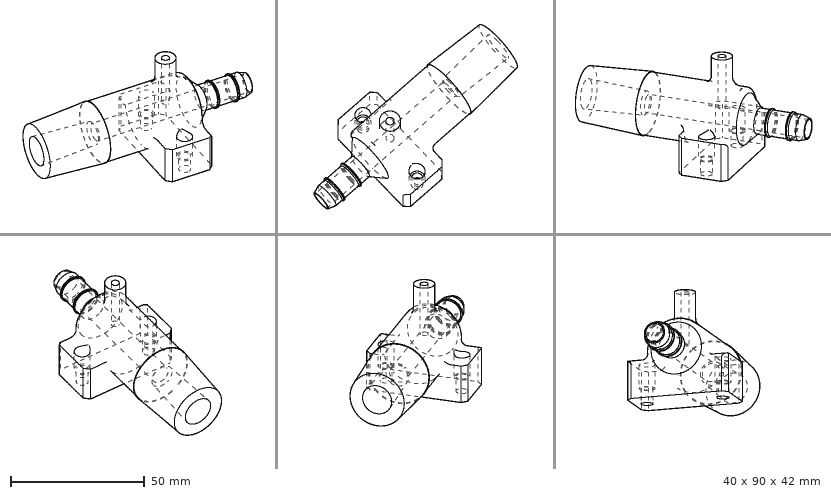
import cadquery as cq
import math

BARREL_RADIUS = 12.0
BARREL_FRONT_Y = -30.0
BODY_ROUND = 2.0
BORE_RADIUS = 3.5

BLOCK_WIDTH = 40.0
BLOCK_LENGTH = 20.0
BLOCK_TOP_Z = -3.0
BLOCK_BOTTOM_Z = -18.0
BLOCK_CHAMFER = 2.0
BLOCK_HEIGHT = BLOCK_TOP_Z - BLOCK_BOTTOM_Z
BLOCK_BACK_Y = BLOCK_LENGTH / 2
BLOCK_FRONT_Y = -BLOCK_LENGTH / 2

SCREW_SPACING = 30.0
SCREW_HOLE_RADIUS = 2.25
SCREW_HEAD_RADIUS = 3.0
SCREW_SEAT_Z = -12.0

PORT_RADIUS = 4.0
PORT_TOP_Z = 24.0
PORT_FILLET = 4.0
PORT_BORE_RADIUS = 1.5

PLUG_LENGTH = 25.0
PLUG_LARGE_RADIUS = 12.25
PLUG_SMALL_RADIUS = 10.75
PLUG_FRONT_Y = BARREL_FRONT_Y - PLUG_LENGTH
SOCKET_MOUTH_RADIUS = 5.75
SOCKET_END_RADIUS = 4.6
SOCKET_TAPER_DEPTH = PLUG_LENGTH - (SOCKET_END_RADIUS - BORE_RADIUS)

HOSE_RADIUS = 5.0
HOSE_END_Y = 35.0
HOSE_TIP_RADIUS = 4.0
HOSE_TIP_LENGTH = 3.0
SHOULDER_RADIUS = BARREL_RADIUS - BODY_ROUND
SHOULDER_END_Y = BLOCK_BACK_Y + SHOULDER_RADIUS - HOSE_RADIUS
RIB_RADIUS = 5.5
RIB_LAND = 0.5
RIB_RAMP = 0.5
RIB_FRONT_YS = (19.5, 28.0)


def cylinder_along_y(radius, y_start, y_end):
    return cq.Workplane("XZ", origin=(0, y_start, 0)).circle(radius).extrude(y_start - y_end)


def revolve_about_y(profile):
    """Turn a closed profile of radius (X) against Y about the barrel axis."""
    return profile.close().revolve(360, (0, 0, 0), (0, 1, 0))


def make_cradle_bar(y_start, y_end):
    """Bar along Y: the barrel sunk into the block section, with a fillet along each side."""
    barrel = cylinder_along_y(BARREL_RADIUS, y_start, y_end)
    middle_y = (y_start + y_end) / 2
    block = (
        cq.Workplane("XY", origin=(0, middle_y, BLOCK_BOTTOM_Z))
        .rect(BLOCK_WIDTH, y_end - y_start)
        .extrude(BLOCK_HEIGHT)
    )
    bar = barrel.union(block)
    seam_x = math.sqrt(BARREL_RADIUS**2 - BLOCK_TOP_Z**2)
    seams = []
    for side in (-1, 1):
        near_seam = cq.selectors.NearestToPointSelector((side * seam_x, middle_y, BLOCK_TOP_Z))
        seams += bar.edges(near_seam).vals()
    return bar.newObject(seams).fillet(BODY_ROUND)


def make_cradle():
    """Block and rear barrel, with chamfered corners and a rounded back edge."""
    bar = make_cradle_bar(BLOCK_FRONT_Y, BLOCK_BACK_Y)
    chamfered_outline = (
        cq.Workplane("XY", origin=(0, 0, BLOCK_BOTTOM_Z))
        .rect(BLOCK_WIDTH, BLOCK_LENGTH)
        .extrude(BARREL_RADIUS - BLOCK_BOTTOM_Z)
        .edges("|Z")
        .chamfer(BLOCK_CHAMFER)
    )
    cradle = bar.intersect(chamfered_outline)
    back_edges = cradle.faces(">Y").edges("not(|Z or <Z)")
    return back_edges.fillet(BODY_ROUND)


def make_front_collar():
    """Concave ring where the barrel leaves the block front, mitred to the side fillets."""
    collar_end_y = BLOCK_FRONT_Y - BODY_ROUND
    ring = revolve_about_y(
        cq.Workplane("XY")
        .moveTo(0, BLOCK_FRONT_Y)
        .lineTo(BARREL_RADIUS + BODY_ROUND, BLOCK_FRONT_Y)
        .radiusArc((BARREL_RADIUS, collar_end_y), -BODY_ROUND)
        .lineTo(0, collar_end_y)
    )
    return ring.intersect(make_cradle_bar(collar_end_y, BLOCK_FRONT_Y))


def make_barrel_with_port():
    """Front barrel and port, blended by a saddle fillet that ends where the back rounding starts."""
    saddle_reach = PORT_RADIUS + PORT_FILLET
    long_barrel = cylinder_along_y(BARREL_RADIUS, BARREL_FRONT_Y, 2 * saddle_reach)
    port = cq.Workplane("XY").circle(PORT_RADIUS).extrude(PORT_TOP_Z)
    joint_low_z = math.sqrt(BARREL_RADIUS**2 - PORT_RADIUS**2)
    margin = 1.0
    near_joint = cq.selectors.BoxSelector(
        (-PORT_RADIUS, -PORT_RADIUS, joint_low_z - margin),
        (PORT_RADIUS, PORT_RADIUS, BARREL_RADIUS + margin),
    )
    blended = long_barrel.union(port).edges(near_joint).fillet(PORT_FILLET)
    behind_saddle = cylinder_along_y(PORT_TOP_Z, saddle_reach, 2 * saddle_reach)
    return blended.cut(behind_saddle)


def make_plug():
    return revolve_about_y(
        cq.Workplane("XY")
        .moveTo(0, BARREL_FRONT_Y)
        .lineTo(PLUG_LARGE_RADIUS, BARREL_FRONT_Y)
        .lineTo(PLUG_SMALL_RADIUS, PLUG_FRONT_Y)
        .lineTo(0, PLUG_FRONT_Y)
    )


def make_rib(front_y):
    """Hose rib: square on the front side, ramped towards the hose tip."""
    land_end_y = front_y + RIB_LAND
    return revolve_about_y(
        cq.Workplane("XY")
        .moveTo(0, front_y)
        .lineTo(RIB_RADIUS, front_y)
        .lineTo(RIB_RADIUS, land_end_y)
        .lineTo(HOSE_RADIUS, land_end_y + RIB_RAMP)
        .lineTo(0, land_end_y + RIB_RAMP)
    )


def make_hose_tail():
    tail = revolve_about_y(
        cq.Workplane("XY")
        .moveTo(0, BLOCK_BACK_Y)
        .lineTo(SHOULDER_RADIUS, BLOCK_BACK_Y)
        .lineTo(HOSE_RADIUS, SHOULDER_END_Y)
        .lineTo(HOSE_RADIUS, HOSE_END_Y - HOSE_TIP_LENGTH)
        .lineTo(HOSE_TIP_RADIUS, HOSE_END_Y)
        .lineTo(0, HOSE_END_Y)
    )
    for front_y in RIB_FRONT_YS:
        tail = tail.union(make_rib(front_y))
    return tail


def make_passages():
    """Through bore with the front socket, and the port bore that meets it."""
    bore = cylinder_along_y(BORE_RADIUS, PLUG_FRONT_Y, HOSE_END_Y)
    socket = revolve_about_y(
        cq.Workplane("XY")
        .moveTo(0, PLUG_FRONT_Y)
        .lineTo(SOCKET_MOUTH_RADIUS, PLUG_FRONT_Y)
        .lineTo(SOCKET_END_RADIUS, PLUG_FRONT_Y + SOCKET_TAPER_DEPTH)
        .lineTo(BORE_RADIUS, BARREL_FRONT_Y)
        .lineTo(0, BARREL_FRONT_Y)
    )
    port_bore = cq.Workplane("XY").circle(PORT_BORE_RADIUS).extrude(PORT_TOP_Z)
    return bore.union(socket).union(port_bore)


def cut_screw_holes(body):
    """Counterbored holes; the counterbores run up through the side fillets."""
    for x in (-SCREW_SPACING / 2, SCREW_SPACING / 2):
        shank = cq.Workplane("XY", origin=(x, 0, BLOCK_BOTTOM_Z)).circle(SCREW_HOLE_RADIUS)
        head = cq.Workplane("XY", origin=(x, 0, SCREW_SEAT_Z)).circle(SCREW_HEAD_RADIUS)
        body = body.cut(shank.extrude(BLOCK_HEIGHT))
        body = body.cut(head.extrude(-SCREW_SEAT_Z))
    return body


body = make_cradle().union(make_front_collar()).union(make_barrel_with_port())
body = cut_screw_holes(body)
body = body.union(make_plug()).union(make_hose_tail())
result = body.cut(make_passages())